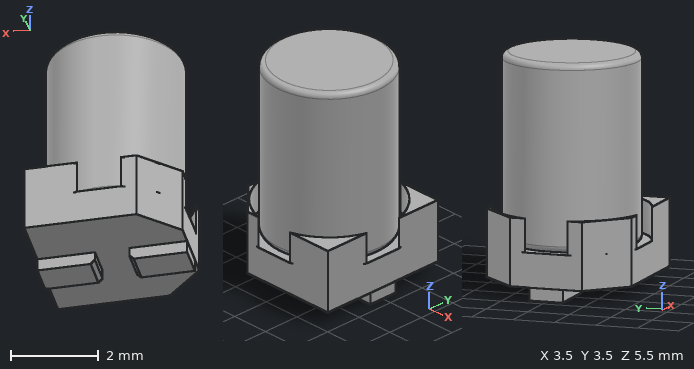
import cadquery as cq

total_height = 5.5
base_width = 3.5
half_width = base_width / 2

lead_height = 0.3
lead_width = 0.805
lead_length = 1.35
lead_chamfer = 0.1

base_top = 1.9
base_height = base_top - lead_height
corner_cut = 0.88
recess_diameter = 3.645
recess_floor = 1.11

can_diameter = 3.2
can_height = total_height - recess_floor
can_edge_radius = 0.15


def make_base():
    """Block with both -X corners cut and a recess that leaves four corner posts."""
    block = (
        cq.Workplane("XY")
        .workplane(offset=lead_height)
        .rect(base_width, base_width)
        .extrude(base_height)
        .edges("|Z and <X")
        .chamfer(corner_cut)
    )
    recess = (
        cq.Workplane("XY")
        .workplane(offset=recess_floor)
        .circle(recess_diameter / 2)
        .extrude(base_top - recess_floor)
    )
    return block.cut(recess)


def make_can():
    """Cylinder with rounded top and bottom rims."""
    return (
        cq.Workplane("XY")
        .workplane(offset=recess_floor)
        .circle(can_diameter / 2)
        .extrude(can_height)
        .edges()
        .fillet(can_edge_radius)
    )


def make_lead(side):
    """Flat lead on the given X side (-1 or 1), flush with the base and chamfered at its inner lower edge."""
    outer_x = side * half_width
    inner_x = side * (half_width - lead_length)
    chamfer_x = inner_x + side * lead_chamfer
    profile = [
        (outer_x, 0),
        (chamfer_x, 0),
        (inner_x, lead_chamfer),
        (inner_x, lead_height),
        (outer_x, lead_height),
    ]
    return cq.Workplane("XZ").polyline(profile).close().extrude(lead_width / 2, both=True)


base = make_base()
can = make_can()
leads = [make_lead(side) for side in (-1, 1)]

result = cq.Compound.makeCompound([base.val(), can.val(), *[lead.val() for lead in leads]])